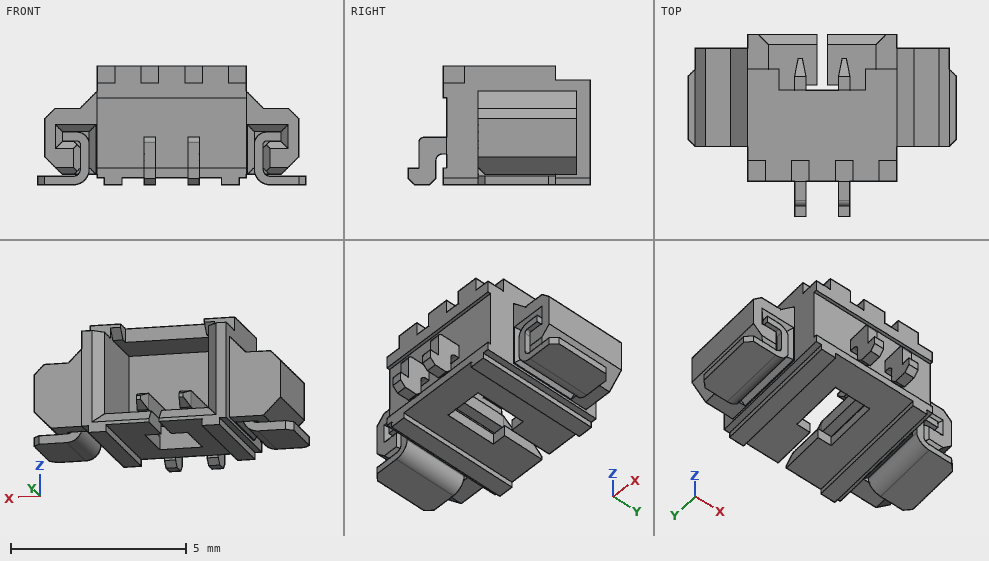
import cadquery as cq


body_width = 4.25
body_depth = 4.2
body_height = 3.4
body_bottom = 0.2
half_body = body_width / 2
front_recess_depth = 0.1
front_recess_bottom = 0.49
front_recess_top = 2.49

foot_width = 0.51
foot_inset = 0.2

notch_depth = 0.605
notch_height = 0.48
corner_notch_width = 0.51
pin_notch_width = 0.49

side_wall = 0.6
plate_thickness = 0.4
front_wall = 0.995
cavity_floor = body_bottom + plate_thickness
cavity_top = body_height - plate_thickness
lead_in = 0.3
roof_setback = 0.995
roof_rear = body_depth - roof_setback
roof_notch_width = 2.46
roof_notch_depth = 0.6
floor_slot_width = 0.3
floor_slot_length = 1.45
floor_window_width = 1.255

pin_pitch = 1.255
pin_width = 0.33
pin_height = 0.48
pin_top = 1.36
pin_bottom = pin_top - pin_height
pin_tip_y = 3.5
pin_taper_length = 0.51
pin_tip_width = 0.12
pin_toe_y = -1.0
pin_leg_outer_y = -0.695
pin_leg_inner_y = -0.21
pin_toe_height = 0.48
pin_toe_chamfer = 0.18
pin_outer_radius = 0.145
pin_inner_radius = 0.18

clip_thickness = 0.25
clip_tip_x = 3.825
clip_upper_bend = 0.1
clip_lower_bend = 0.2
clip_front = 0.995
clip_rear = roof_rear
clip_chamfer = 0.2
clip_arm_top = 1.51

wing_front = clip_front
wing_rear_setback = 0.4
wing_rear = body_depth - wing_rear_setback
wing_outer_x = 3.625
wing_bottom = 0.3
wing_top = 2.19
wing_ramp = 0.49
wing_top_chamfer = 0.3
wing_bottom_chamfer = 0.505
slot_bevel = 0.2
slot_web = 0.23
slot_clearance = 0.015
slot_inner_x = half_body + slot_web
slot_lip_x = slot_inner_x + clip_thickness
slot_outer_x = wing_outer_x - wing_bottom_chamfer
slot_top = clip_arm_top + slot_clearance
slot_bottom = clip_arm_top - clip_thickness - slot_clearance
lip_chamfer = 0.18
wing_overlap = 0.305


def box(x_range, y_range, z_range):
    """Block between the given pairs of limits."""
    size = [high - low for low, high in (x_range, y_range, z_range)]
    corner = (x_range[0], y_range[0], z_range[0])
    return cq.Workplane("XY").box(*size, centered=False).translate(corner)


def centred_box(x_center, width, y_range, z_range):
    """Block of the given width centred on x_center."""
    return box((x_center - width / 2, x_center + width / 2), y_range, z_range)


def prism_along_y(points, y_start, y_end):
    """Polygon of (x, z) points carried from y_start to y_end."""
    profile = cq.Workplane("XZ", origin=(0, y_start, 0)).polyline(points).close()
    return profile.extrude(y_start - y_end)


def both_sides(solid):
    """The solid together with its mirror image across X = 0."""
    return solid.union(solid.mirror("YZ"))


def make_cavity():
    """Plug cavity, open at the rear, with a lead-in around its mouth."""
    width = body_width - 2 * side_wall
    cavity = centred_box(0, width, (front_wall, body_depth), (cavity_floor, cavity_top))
    height = cavity_top - cavity_floor
    center_z = cavity_floor + height / 2
    mouth = (
        cq.Workplane("XZ", origin=(0, body_depth, center_z))
        .rect(width + 2 * lead_in, height + 2 * lead_in)
        .workplane(offset=lead_in)
        .rect(width, height)
        .loft(ruled=True)
    )
    roof_bevel = (
        cq.Workplane("YZ", origin=(-width / 2, 0, 0))
        .polyline([
            (roof_rear - lead_in, cavity_top),
            (roof_rear, cavity_top),
            (roof_rear, cavity_top + lead_in),
        ])
        .close()
        .extrude(width)
    )
    return cavity.union(mouth).union(roof_bevel)


def make_housing():
    housing = centred_box(0, body_width, (0, body_depth), (body_bottom, body_height))
    foot_outer_x = half_body - foot_inset
    foot = box((foot_outer_x - foot_width, foot_outer_x), (0, body_depth), (0, body_bottom))
    housing = housing.union(both_sides(foot))

    recess_span = (front_recess_bottom, front_recess_top)
    housing = housing.cut(centred_box(0, body_width, (0, front_recess_depth), recess_span))
    housing = housing.cut(centred_box(0, body_width, (roof_rear, body_depth), (cavity_top, body_height)))

    notch_range = (roof_rear - roof_notch_depth, roof_rear)
    housing = housing.cut(centred_box(0, roof_notch_width, notch_range, (cavity_top, body_height)))
    housing = housing.cut(make_cavity())
    slot_front = body_depth - floor_slot_length
    floor_range = (body_bottom, cavity_floor)
    housing = housing.cut(centred_box(0, floor_slot_width, (slot_front, body_depth), floor_range))
    housing = housing.cut(centred_box(0, floor_window_width, (front_wall, slot_front), floor_range))

    notch_range = (0, notch_depth)
    notch_heights = (body_height - notch_height, body_height)
    pin_notch = centred_box(pin_pitch / 2, pin_notch_width, notch_range, notch_heights)
    corner_notch = box((half_body - corner_notch_width, half_body), notch_range, notch_heights)
    return housing.cut(both_sides(pin_notch)).cut(both_sides(corner_notch))


def make_wing():
    """Wing on the +X side with a blind C-shaped slot for the clip."""
    root_x = half_body - wing_overlap
    wing = prism_along_y(
        [
            (root_x, wing_bottom),
            (wing_outer_x - wing_bottom_chamfer, wing_bottom),
            (wing_outer_x, wing_bottom + wing_bottom_chamfer),
            (wing_outer_x, wing_top - wing_top_chamfer),
            (wing_outer_x - wing_top_chamfer, wing_top),
            (half_body + wing_ramp, wing_top),
            (half_body, wing_top + wing_ramp),
            (root_x, wing_top + wing_ramp),
        ],
        wing_front,
        wing_rear,
    )
    slot_depth = (wing_front, clip_rear)
    wing = wing.cut(box((slot_inner_x, slot_lip_x), slot_depth, (wing_bottom, slot_top)))
    wing = wing.cut(box((slot_inner_x, slot_outer_x), slot_depth, (slot_bottom, slot_top)))

    margin = 0.01
    bevel_zone = cq.selectors.BoxSelector(
        (slot_inner_x - margin, wing_front - margin, wing_bottom - margin),
        (slot_outer_x + margin, wing_front + margin, slot_top + margin),
    )
    wing = wing.edges(bevel_zone).chamfer(slot_bevel)

    corners = [
        (slot_lip_x, slot_bottom, lip_chamfer, -lip_chamfer),
        (slot_lip_x, wing_bottom, lip_chamfer, lip_chamfer),
        (slot_inner_x, wing_bottom, -slot_bevel, slot_bevel),
    ]
    for x, z, run_x, run_z in corners:
        triangle = [(x, z), (x + run_x, z), (x, z + run_z)]
        wing = wing.cut(prism_along_y(triangle, wing_front, clip_rear))
    return wing


def make_clip():
    """Bent sheet clip on the +X side: arm in the slot, upright, and solder foot."""
    length = (clip_front, clip_rear)
    arm_bottom = clip_arm_top - clip_thickness
    sheet = box((slot_inner_x, clip_tip_x), length, (0, clip_arm_top))
    sheet = sheet.faces(">Z").edges("<X").fillet(clip_upper_bend + clip_thickness)
    sheet = sheet.faces("<Z").edges("<X").fillet(clip_lower_bend + clip_thickness)
    hollow = box((slot_lip_x, clip_tip_x), length, (clip_thickness, arm_bottom))
    hollow = hollow.faces(">Z").edges("<X").fillet(clip_upper_bend)
    hollow = hollow.faces("<Z").edges("<X").fillet(clip_lower_bend)
    arm_excess = box((slot_outer_x, clip_tip_x), length, (arm_bottom, clip_arm_top))
    clip = sheet.cut(hollow).cut(arm_excess)
    return clip.edges("|Z and >X").chamfer(clip_chamfer)


def make_pin():
    """Pin on the +X side: tapered contact in the cavity and a bent leg in front of the housing."""
    pin_x = pin_pitch / 2
    taper_start = pin_tip_y - pin_taper_length
    outline = (
        cq.Workplane("YZ", origin=(pin_x - pin_width / 2, 0, 0))
        .moveTo(taper_start, pin_top)
        .lineTo(pin_leg_outer_y + pin_outer_radius, pin_top)
        .radiusArc((pin_leg_outer_y, pin_top - pin_outer_radius), -pin_outer_radius)
        .lineTo(pin_leg_outer_y, pin_toe_height)
        .lineTo(pin_toe_y, pin_toe_height)
        .lineTo(pin_toe_y, pin_toe_chamfer)
        .lineTo(pin_toe_y + pin_toe_chamfer, 0)
        .lineTo(pin_leg_inner_y - pin_toe_chamfer, 0)
        .lineTo(pin_leg_inner_y, pin_toe_chamfer)
        .lineTo(pin_leg_inner_y, pin_bottom - pin_inner_radius)
        .radiusArc((pin_leg_inner_y + pin_inner_radius, pin_bottom), pin_inner_radius)
        .lineTo(taper_start, pin_bottom)
        .close()
        .extrude(pin_width)
    )
    tip = (
        cq.Workplane("XZ", origin=(pin_x, taper_start, pin_bottom + pin_height / 2))
        .rect(pin_width, pin_height)
        .workplane(offset=-pin_taper_length)
        .rect(pin_tip_width, pin_tip_width)
        .loft(ruled=True)
    )
    return outline.union(tip)


result = make_housing()
for feature in (make_wing(), make_clip(), make_pin()):
    result = result.union(both_sides(feature))